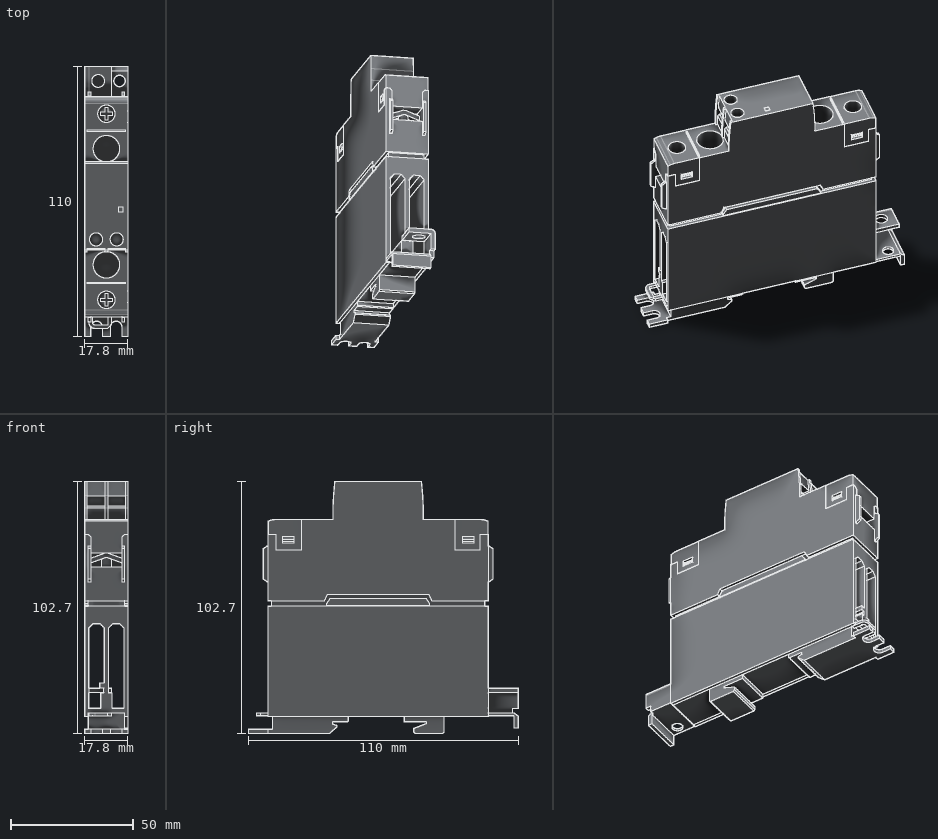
import cadquery as cq


WIDTH = 17.8
HALF_WIDTH = WIDTH / 2
LENGTH = 89.8
HALF_LENGTH = LENGTH / 2
TOTAL_LENGTH = 110.0
TOTAL_HEIGHT = 102.68

SINK_BOTTOM = 6.85
SINK_TOP = 51.9
MODULE_BOTTOM = 54.05
SHOULDER = 87.2

WALL = 1.8
DIVIDER_WIDTH = 1.8
TUNNEL_BOTTOM = 10.4
TUNNEL_TOP = 44.7
TUNNEL_CHAMFER = 1.7
CHANNEL_TOP = 8.4
CHANNEL_WIDTH = 14.9
STEM_WIDTH = 4.7
STEM_TOP = 16.6
LEDGE_BOTTOM = 18.5
LEDGE_TOP = 20.6
LEDGE_EDGE = -2.75
SPINE_BULGE = 0.25

NECK_INSET = 1.45
NOTCH_TOP = 56.6
NOTCH_HALF_BOTTOM = 21.9
NOTCH_HALF_TOP = 20.7
TAB_BOTTOM = 52.25
TAB_KNEE = 52.9
TAB_TOP = 55.1
TAB_HALF_BOTTOM = 21.0
TAB_HALF_TOP = 19.5

BEVEL_RUN = 1.1
BEVEL_DROP = 0.45
ROUND_RUN = 1.8
ROUND_DROP = 0.3

DOME_HALF = 18.45
DOME_BREAK_LOW = 91.9
DOME_BREAK_HIGH = 96.9
DOME_BREAK_INSET = 0.25
DOME_TOP_INSET = 0.75

CONTROL_PITCH = 8.4
CONTROL_WIDTH = 7.25
CONTROL_RECESS = 0.8
CONTROL_LIP_BOTTOM = DOME_BREAK_LOW
CONTROL_LIP_TOP = 92.6
CONTROL_OPENING_TOP = 96.7
CONTROL_DEPTH = 6.0
CONTROL_HOLE_DIAMETER = 5.35
CONTROL_HOLE_DEPTH = 5.0
CONTROL_HOLE_Y = -13.3
LIGHT_SIZE = 1.9
LIGHT_X = 5.9
LIGHT_Y = -1.1
LIGHT_DEPTH = 0.1

SCREW_HOLE_DIAMETER = 7.1
SCREW_HOLE_DEPTH = 8.0
SCREW_Y = 37.9
CROSS_LENGTH = 5.0
CROSS_WIDTH = 1.25
CROSS_DEPTH = 1.5
WIRE_HOLE_DIAMETER = 10.8
WIRE_HOLE_DEPTH = 12.0
WIRE_HOLE_Y = 23.65
WINDOW_WIDTH = 12.7
WINDOW_BOTTOM = 67.8
WINDOW_TOP = 73.5
WINDOW_DEPTH = 9.0
CLAMP_SETBACK = 5.0
CLAMP_APEX = 71.8
CLAMP_SIDE = 69.5
CLAMP_THICKNESS = 1.9
SCREW_DIAMETER = 4.0

COVER_SINK = 0.1
COVER_INNER_Y = 31.3
COVER_END_INSET = 3.3
COVER_OUTER_Y = HALF_LENGTH - COVER_END_INSET
COVER_BOTTOM = 74.7
COVER_STEP = 81.1
COVER_CORNER = 1.0
SEAM_INSET = 1.1
SEAM_WIDTH = 0.55
SEAM_DEPTH = 0.5
LATCH_Y = 36.65
LATCH_LENGTH = 4.7
LATCH_BOTTOM = 77.6
LATCH_TOP = 80.2
LATCH_DEPTH = 1.4
LATCH_NUB = 0.6
LATCH_NUB_LOW = 78.3
LATCH_NUB_HIGH = 79.0

FIN_WIDTH = 1.05
FIN_REACH = 1.95
FIN_BOTTOM = 61.8
FIN_TOP = 76.4
FIN_SLOPE = 1.1
FIN_TIP_REACH = 0.3

FORK_REACH = 7.95
FORK_TIP = -HALF_LENGTH - FORK_REACH
FORK_THICKNESS = 1.8
FORK_SLOT_WIDTH = 4.6
FORK_SLOT_DEPTH = 6.2
FORK_SLOT_PITCH = 7.95
FOOT_FRONT = -43.1
RAIL_CATCH_TOP = 4.8
HOOK_REAR = 26.9
HOOK_FRONT = 10.6
HOOK_ROOT = 19.65
HOOK_ROOT_GAP = 0.7
HOOK_NOSE = 14.5
HOOK_NOSE_TOP = 2.1
HOOK_CHAMFER = 0.6
FOOT_REAR = -12.1
FOOT_CHAMFER = 0.4
FOOT_ROOT = -18.5
FOOT_NOSE = -16.7
FOOT_NOSE_ROOT_TOP = 3.9
FOOT_NOSE_TOP = 3.3
FOOT_NOSE_BOTTOM = 2.7
FOOT_TOE = -19.8
STRIP_BOTTOM = 7.2
RING_LEFT = -7.1
RING_RIGHT = 2.1
RING_SETBACK = 3.25
RING_FRONT = FORK_TIP + RING_SETBACK
RING_BAR = 1.5
RING_ROUND = 2.4
RING_CORNER = 1.7

BRACKET_REAR = FORK_TIP + TOTAL_LENGTH
BRACKET_SPLIT = 2.1
BRACKET_TOP = LEDGE_BOTTOM
BRACKET_THICKNESS = 1.8
BRACKET_NOTCH_LENGTH = 2.35
BRACKET_NOTCH_TOP = 10.1
BRACKET_HOLE_DIAMETER = 5.2
BRACKET_HOLE_X = -3.35
TAIL_BOTTOM = 2.2
TAIL_CHAMFER = 1.3
TAIL_HOLE_DIAMETER = 4.55
TAIL_HOLE_X = 5.35
BRACKET_HOLE_INSET = 5.9


def box(x0, x1, y0, y1, z0, z1):
    """Box between two opposite corners."""
    return cq.Workplane("XY").box(x1 - x0, y1 - y0, z1 - z0, centered=False).translate((x0, y0, z0))


def lengthwise(points, y0, y1):
    """Extrude an X-Z outline from y0 to y1."""
    return cq.Workplane("XZ", origin=(0, y0, 0)).polyline(points).close().extrude(y0 - y1)


def crosswise(points, x0, x1):
    """Extrude a Y-Z outline from x0 to x1."""
    return cq.Workplane("YZ", origin=(x0, 0, 0)).polyline(points).close().extrude(x1 - x0)


def post(diameter, x, y, z0, z1):
    """Vertical round cylinder."""
    return cq.Workplane("XY", origin=(x, y, z0)).circle(diameter / 2).extrude(z1 - z0)


def at_both_ends(shape):
    """A shape at one end together with its mirror image at the other end."""
    return shape.union(shape.mirror("XZ"))


def on_both_sides(shape):
    """A shape on the -X side together with its mirror image on the +X side."""
    return shape.union(shape.mirror("YZ"))


def tunnel(x0, x1):
    corner = TUNNEL_TOP - TUNNEL_CHAMFER
    return lengthwise([
        (x0, TUNNEL_BOTTOM),
        (x1, TUNNEL_BOTTOM),
        (x1, corner),
        (x1 - TUNNEL_CHAMFER, TUNNEL_TOP),
        (x0 + TUNNEL_CHAMFER, TUNNEL_TOP),
        (x0, corner),
    ], -HALF_LENGTH, HALF_LENGTH)


def make_heat_sink():
    ends = (-HALF_LENGTH, HALF_LENGTH)
    half_divider = DIVIDER_WIDTH / 2
    inner_face = HALF_WIDTH - WALL
    sink = box(-HALF_WIDTH, HALF_WIDTH, *ends, SINK_BOTTOM, SINK_TOP)
    sink = sink.cut(tunnel(-inner_face, -half_divider)).cut(tunnel(half_divider, inner_face))
    sink = sink.cut(box(-CHANNEL_WIDTH / 2, CHANNEL_WIDTH / 2, *ends, SINK_BOTTOM, CHANNEL_TOP))
    sink = sink.union(box(-STEM_WIDTH / 2, STEM_WIDTH / 2, *ends, TUNNEL_BOTTOM, STEM_TOP))
    sink = sink.union(box(-half_divider - SPINE_BULGE, 0, *ends, STEM_TOP, LEDGE_BOTTOM))
    return sink.union(box(LEDGE_EDGE, 0, *ends, LEDGE_BOTTOM, LEDGE_TOP))


def module_block():
    """Block with rounded shoulder ends and a drafted dome, drawn as a rear half and mirrored."""
    bevel_top = SHOULDER - ROUND_DROP
    bevel_y = HALF_LENGTH - BEVEL_RUN
    rear_half = (
        cq.Workplane("YZ", origin=(-HALF_WIDTH, 0, 0))
        .moveTo(0, MODULE_BOTTOM)
        .lineTo(0, TOTAL_HEIGHT)
        .lineTo(DOME_HALF - DOME_TOP_INSET, TOTAL_HEIGHT)
        .lineTo(DOME_HALF - DOME_BREAK_INSET, DOME_BREAK_HIGH)
        .lineTo(DOME_HALF, DOME_BREAK_LOW)
        .lineTo(DOME_HALF, SHOULDER)
        .lineTo(bevel_y - ROUND_RUN, SHOULDER)
        .tangentArcPoint((bevel_y, bevel_top), relative=False)
        .lineTo(HALF_LENGTH, bevel_top - BEVEL_DROP)
        .lineTo(HALF_LENGTH, MODULE_BOTTOM)
        .close()
        .extrude(WIDTH)
    )
    return at_both_ends(rear_half)


def side_notch():
    return crosswise([
        (-NOTCH_HALF_BOTTOM, MODULE_BOTTOM),
        (NOTCH_HALF_BOTTOM, MODULE_BOTTOM),
        (NOTCH_HALF_TOP, NOTCH_TOP),
        (-NOTCH_HALF_TOP, NOTCH_TOP),
    ], -HALF_WIDTH, -HALF_WIDTH + NECK_INSET)


def side_tab():
    return crosswise([
        (-TAB_HALF_BOTTOM, TAB_BOTTOM),
        (TAB_HALF_BOTTOM, TAB_BOTTOM),
        (TAB_HALF_BOTTOM, TAB_KNEE),
        (TAB_HALF_TOP, TAB_TOP),
        (-TAB_HALF_TOP, TAB_TOP),
        (-TAB_HALF_BOTTOM, TAB_KNEE),
    ], -HALF_WIDTH, -HALF_WIDTH + NECK_INSET)


def neck():
    x = HALF_WIDTH - NECK_INSET
    y = HALF_LENGTH - NECK_INSET
    return box(-x, x, -y, y, SINK_TOP, MODULE_BOTTOM)


def control_terminal(x):
    """Recess in the dome end with a deep wire opening and a sloping lip, and its screw hole."""
    x0 = x - CONTROL_WIDTH / 2
    x1 = x + CONTROL_WIDTH / 2
    low_y = -DOME_HALF + CONTROL_RECESS
    break_y = low_y + DOME_BREAK_INSET
    top_y = low_y + DOME_TOP_INSET
    back_y = -DOME_HALF + CONTROL_DEPTH
    recess = crosswise([
        (-DOME_HALF, SHOULDER),
        (low_y, SHOULDER),
        (low_y, CONTROL_LIP_BOTTOM),
        (low_y + CONTROL_RECESS, CONTROL_LIP_TOP),
        (back_y, CONTROL_LIP_TOP),
        (back_y, CONTROL_OPENING_TOP),
        (break_y, CONTROL_OPENING_TOP),
        (top_y, TOTAL_HEIGHT),
        (-DOME_HALF, TOTAL_HEIGHT),
    ], x0, x1)
    floor = TOTAL_HEIGHT - CONTROL_HOLE_DEPTH
    return recess.union(post(CONTROL_HOLE_DIAMETER, x, CONTROL_HOLE_Y, floor, TOTAL_HEIGHT))


def indicator_light():
    return (
        cq.Workplane("XY", origin=(LIGHT_X, LIGHT_Y, TOTAL_HEIGHT - LIGHT_DEPTH))
        .rect(LIGHT_SIZE, LIGHT_SIZE)
        .extrude(LIGHT_DEPTH)
    )


def terminal_holes():
    """Screw hole ending on a cross-slotted screw head, and the larger hole beside it."""
    head = SHOULDER - SCREW_HOLE_DEPTH
    holes = post(SCREW_HOLE_DIAMETER, 0, -SCREW_Y, head, SHOULDER)
    slots = cq.Workplane("XY", origin=(0, -SCREW_Y, head - CROSS_DEPTH))
    holes = holes.union(slots.rect(CROSS_LENGTH, CROSS_WIDTH).extrude(CROSS_DEPTH))
    holes = holes.union(slots.rect(CROSS_WIDTH, CROSS_LENGTH).extrude(CROSS_DEPTH))
    wire_floor = SHOULDER - WIRE_HOLE_DEPTH
    return holes.union(post(WIRE_HOLE_DIAMETER, 0, -WIRE_HOLE_Y, wire_floor, SHOULDER))


def terminal_window():
    half = WINDOW_WIDTH / 2
    back = -HALF_LENGTH + WINDOW_DEPTH
    return box(-half, half, -HALF_LENGTH, back, WINDOW_BOTTOM, WINDOW_TOP)


def wire_clamp():
    """Chevron clamp across the window, standing on its screw shank."""
    half = WINDOW_WIDTH / 2
    front = -HALF_LENGTH + CLAMP_SETBACK
    back = -HALF_LENGTH + WINDOW_DEPTH
    chevron = lengthwise([
        (-half, CLAMP_SIDE),
        (0, CLAMP_APEX),
        (half, CLAMP_SIDE),
        (half, CLAMP_SIDE + CLAMP_THICKNESS),
        (0, CLAMP_APEX + CLAMP_THICKNESS),
        (-half, CLAMP_SIDE + CLAMP_THICKNESS),
    ], front, back)
    shank_y = (front + back) / 2
    return chevron.union(post(SCREW_DIAMETER, 0, shank_y, WINDOW_BOTTOM, CLAMP_APEX))


def cover_panels():
    """Thin cuts that set the terminal cover back from the end face and the sides."""
    half = WINDOW_WIDTH / 2
    end_panel = lengthwise([
        (-half, WINDOW_TOP),
        (half, WINDOW_TOP),
        (half, COVER_STEP - COVER_CORNER),
        (half + COVER_CORNER, COVER_STEP),
        (HALF_WIDTH, COVER_STEP),
        (HALF_WIDTH, SHOULDER),
        (-HALF_WIDTH, SHOULDER),
        (-HALF_WIDTH, COVER_STEP),
        (-half - COVER_CORNER, COVER_STEP),
        (-half, COVER_STEP - COVER_CORNER),
    ], -HALF_LENGTH, -HALF_LENGTH + COVER_SINK)
    side_panel = crosswise([
        (-COVER_INNER_Y, SHOULDER),
        (-COVER_INNER_Y, COVER_BOTTOM),
        (-COVER_OUTER_Y, COVER_BOTTOM),
        (-COVER_OUTER_Y, COVER_STEP),
        (-HALF_LENGTH, COVER_STEP),
        (-HALF_LENGTH, SHOULDER),
    ], -HALF_WIDTH, -HALF_WIDTH + COVER_SINK)
    return end_panel.union(on_both_sides(side_panel))


def cover_seam():
    """Shallow groove across the shoulder along the inner edge of the cover."""
    x = HALF_WIDTH - SEAM_INSET
    y = -COVER_INNER_Y
    return box(-x, x, y, y + SEAM_WIDTH, SHOULDER - SEAM_DEPTH, SHOULDER)


def latch_pocket():
    """Pocket in the side of the cover with a sloped latch nub standing on its floor."""
    floor = -HALF_WIDTH + LATCH_DEPTH
    crest = floor - LATCH_NUB
    y_start = -LATCH_Y - LATCH_LENGTH / 2
    outline = [
        (-HALF_WIDTH, LATCH_BOTTOM),
        (floor, LATCH_BOTTOM),
        (crest, LATCH_NUB_LOW),
        (crest, LATCH_NUB_HIGH),
        (floor, LATCH_TOP),
        (-HALF_WIDTH, LATCH_TOP),
    ]
    return lengthwise(outline, y_start, y_start + LATCH_LENGTH)


def guard_fin():
    x = -WINDOW_WIDTH / 2 - FIN_WIDTH
    tip = -HALF_LENGTH - FIN_REACH
    root = -HALF_LENGTH + COVER_SINK
    knee = -HALF_LENGTH - FIN_TIP_REACH
    return crosswise([
        (root, FIN_BOTTOM),
        (knee, FIN_BOTTOM),
        (tip, FIN_BOTTOM + FIN_SLOPE),
        (tip, FIN_TOP - FIN_SLOPE),
        (knee, FIN_TOP),
        (root, FIN_TOP),
    ], x, x + FIN_WIDTH)


def make_module():
    module = module_block().cut(on_both_sides(side_notch()))
    module = module.union(neck()).union(on_both_sides(side_tab()))
    for side in (-1, 1):
        module = module.cut(control_terminal(side * CONTROL_PITCH / 2))
    module = module.cut(indicator_light())
    module = module.cut(at_both_ends(cover_panels()))
    module = module.cut(at_both_ends(cover_seam()))
    module = module.cut(at_both_ends(on_both_sides(latch_pocket())))
    module = module.cut(at_both_ends(terminal_holes()))
    module = module.cut(at_both_ends(terminal_window()))
    module = module.union(at_both_ends(wire_clamp()))
    return module.union(at_both_ends(on_both_sides(guard_fin())))


def rear_rail_hook():
    """Side outline of the fixed hook, with a sloping upper face on its nose."""
    return [
        (HOOK_REAR, SINK_BOTTOM),
        (HOOK_FRONT, SINK_BOTTOM),
        (HOOK_FRONT, RAIL_CATCH_TOP),
        (HOOK_ROOT, RAIL_CATCH_TOP),
        (HOOK_ROOT, RAIL_CATCH_TOP - HOOK_ROOT_GAP),
        (HOOK_NOSE, HOOK_NOSE_TOP),
        (HOOK_NOSE, HOOK_CHAMFER),
        (HOOK_NOSE + HOOK_CHAMFER, 0),
        (HOOK_REAR - HOOK_CHAMFER, 0),
        (HOOK_REAR, HOOK_CHAMFER),
    ]


def front_rail_foot():
    """Side outline of the foot, with a pointed latch nose facing the hook."""
    return [
        (FOOT_REAR, SINK_BOTTOM),
        (FOOT_REAR, RAIL_CATCH_TOP + FOOT_CHAMFER),
        (FOOT_REAR - FOOT_CHAMFER, RAIL_CATCH_TOP),
        (FOOT_ROOT, RAIL_CATCH_TOP),
        (FOOT_ROOT, FOOT_NOSE_ROOT_TOP),
        (FOOT_NOSE, FOOT_NOSE_TOP),
        (FOOT_NOSE, FOOT_NOSE_BOTTOM),
        (FOOT_TOE, 0),
        (FOOT_FRONT, 0),
        (FOOT_FRONT, SINK_BOTTOM),
    ]


def fork():
    """Flat fork on a narrower neck in front of the foot, with two round-ended open slots."""
    plate = box(-HALF_WIDTH, HALF_WIDTH, FORK_TIP, -HALF_LENGTH, 0, FORK_THICKNESS)
    half_neck = CHANNEL_WIDTH / 2
    plate = plate.union(box(-half_neck, half_neck, -HALF_LENGTH, FOOT_FRONT, 0, FORK_THICKNESS))
    half_slot = FORK_SLOT_WIDTH / 2
    slot_centre = FORK_TIP + FORK_SLOT_DEPTH - half_slot
    for side in (-1, 1):
        x = side * FORK_SLOT_PITCH / 2
        plate = plate.cut(box(x - half_slot, x + half_slot, FORK_TIP, slot_centre, 0, FORK_THICKNESS))
        plate = plate.cut(post(FORK_SLOT_WIDTH, x, slot_centre, 0, FORK_THICKNESS))
    return plate


def release_ring():
    """Open loop in front of the foot, round on its left corner and bevelled on its right."""
    loop = box(RING_LEFT, RING_RIGHT, RING_FRONT, FOOT_FRONT, STRIP_BOTTOM, CHANNEL_TOP)
    loop = loop.edges("|Z and <Y and <X").fillet(RING_ROUND)
    loop = loop.edges("|Z and >X and <Y").chamfer(RING_CORNER)
    opening = box(RING_LEFT + RING_BAR, RING_RIGHT - RING_BAR, RING_FRONT + RING_BAR, FOOT_FRONT,
                  STRIP_BOTTOM, CHANNEL_TOP)
    opening = opening.edges("|Z and <Y and <X").fillet(RING_ROUND - RING_BAR)
    return loop.cut(opening)


def earth_bracket():
    """Folded angle on the left over a base plate with a bent-down tail, both drilled."""
    notch_y = BRACKET_REAR - BRACKET_NOTCH_LENGTH
    hole_y = BRACKET_REAR - BRACKET_HOLE_INSET
    angle = box(-HALF_WIDTH, BRACKET_SPLIT, HALF_LENGTH, BRACKET_REAR, STRIP_BOTTOM, BRACKET_TOP)
    angle = angle.edges("|Y and <X and >Z").fillet(BRACKET_THICKNESS)
    angle = angle.cut(box(-HALF_WIDTH + BRACKET_THICKNESS, BRACKET_SPLIT, HALF_LENGTH, BRACKET_REAR,
                          STRIP_BOTTOM, BRACKET_TOP - BRACKET_THICKNESS))
    angle = angle.cut(box(-HALF_WIDTH, BRACKET_SPLIT, notch_y, BRACKET_REAR, STRIP_BOTTOM, BRACKET_NOTCH_TOP))
    angle = angle.cut(post(BRACKET_HOLE_DIAMETER, BRACKET_HOLE_X, hole_y,
                           BRACKET_TOP - BRACKET_THICKNESS, BRACKET_TOP))

    tail = crosswise([
        (HALF_LENGTH, STRIP_BOTTOM),
        (HALF_LENGTH, CHANNEL_TOP),
        (BRACKET_REAR - BRACKET_THICKNESS, CHANNEL_TOP),
        (BRACKET_REAR, CHANNEL_TOP - TAIL_CHAMFER),
        (BRACKET_REAR, TAIL_BOTTOM),
        (BRACKET_REAR - BRACKET_THICKNESS, TAIL_BOTTOM),
        (BRACKET_REAR - BRACKET_THICKNESS, STRIP_BOTTOM),
    ], -HALF_WIDTH + BRACKET_THICKNESS, HALF_WIDTH)
    tail = tail.cut(post(TAIL_HOLE_DIAMETER, TAIL_HOLE_X, hole_y, STRIP_BOTTOM, CHANNEL_TOP))
    return angle.union(tail)


def make_clip():
    x = CHANNEL_WIDTH / 2
    clip = box(-x, x, FOOT_FRONT, HALF_LENGTH, SINK_BOTTOM, CHANNEL_TOP)
    clip = clip.union(crosswise(rear_rail_hook(), -x, x))
    clip = clip.union(crosswise(front_rail_foot(), -x, x))
    return clip.union(fork()).union(release_ring()).union(earth_bracket())


heat_sink = make_heat_sink()
module = make_module()
clip = make_clip()

result = cq.Compound.makeCompound([
    heat_sink.solids().val(),
    module.solids().val(),
    clip.solids().val(),
])